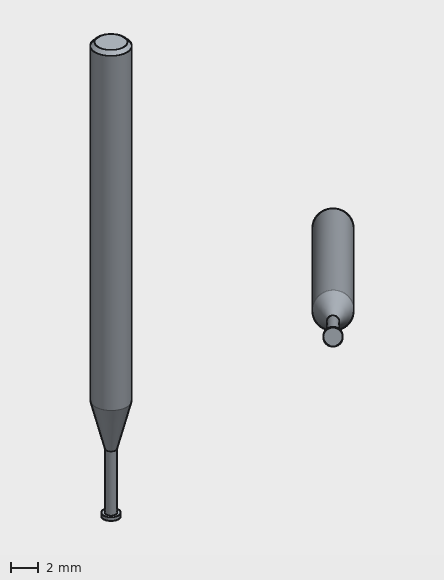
import cadquery as cq

TOTAL_LENGTH = 39.0
SHANK_DIAMETER = 3.0
SHANK_CHAMFER = 0.3

HEAD_DIAMETER = 1.4
HEAD_HEIGHT = 0.3

NECK_DIAMETER = 0.9
NECK_LENGTH = 5.25
TAPER_LENGTH = 3.98

NECK_TOP = HEAD_HEIGHT + NECK_LENGTH
TAPER_TOP = NECK_TOP + TAPER_LENGTH


def make_shank():
    """Round shank with a chamfered top end and a tapered lower end."""
    shank_radius = SHANK_DIAMETER / 2
    return (
        cq.Workplane("XZ")
        .moveTo(0, NECK_TOP)
        .lineTo(NECK_DIAMETER / 2, NECK_TOP)
        .lineTo(shank_radius, TAPER_TOP)
        .lineTo(shank_radius, TOTAL_LENGTH - SHANK_CHAMFER)
        .lineTo(shank_radius - SHANK_CHAMFER, TOTAL_LENGTH)
        .lineTo(0, TOTAL_LENGTH)
        .close()
        .revolve(360, (0, 0, 0), (0, 1, 0))
    )


def make_neck():
    """Plain cylinder between the head and the taper."""
    return cq.Workplane("XY").workplane(offset=HEAD_HEIGHT).circle(NECK_DIAMETER / 2).extrude(NECK_LENGTH)


def make_head():
    """Flat disc at the cutting end."""
    return cq.Workplane("XY").circle(HEAD_DIAMETER / 2).extrude(HEAD_HEIGHT)


shank = make_shank()
neck = make_neck()
head = make_head()

result = cq.Compound.makeCompound([shank.val(), neck.val(), head.val()])